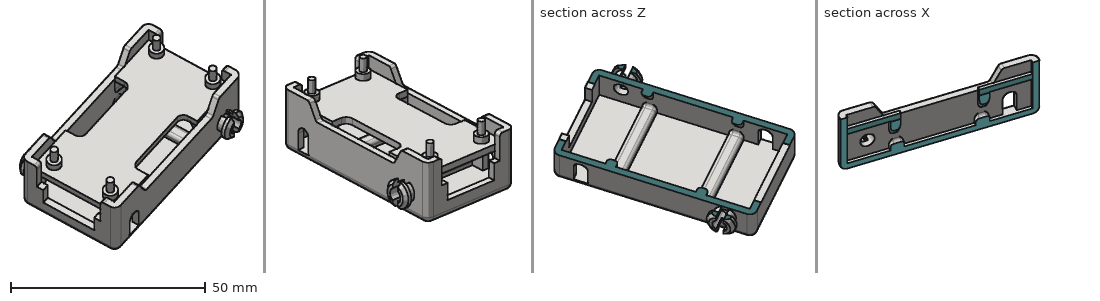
import cadquery as cq
import math

length = 56.0
width = 30.0
height = 18.0
wall = 2.0
floor = 2.0
outer_radius = 2.0
inner_width = width - 2 * wall
inner_length = length - 2 * wall

opening_width = 20.0
opening_sill = 10.0
window_width = 16.0
window_sill = 5.0
edge_radius = 1.0

dip_sill = 13.0
dip_floor_length = 30.0
slope_angle = math.radians(60)

rib_start = 10.0
rib_thickness = 4.0
rib_height = 2.0
rib_embed = 1.5

plate_bottom = 12.0
bracket_start = 11.0
bracket_thickness = rib_start + rib_thickness - bracket_start
bracket_reach = 3.0
bracket_embed = 1.0

peg_y = 20.0
peg_z = 7.0
peg_bore_diameter = 4.0
peg_shaft_diameter = 6.0
peg_head_diameter = 8.0
peg_shaft_length = 2.0
peg_rim_length = 1.0
peg_chamfer = 1.0
peg_split = 2.0
peg_length = peg_shaft_length + peg_rim_length + peg_chamfer

plate_thickness = 2.0
notch_depth = 5.0
notch_length = 22.0
notch_radius = 2.0
pin_spacing_x = 17.7
pin_spacing_y = 45.72
pin_shift_x = 0.05
pin_shift_y = 0.8
standoff_diameter = 4.0
standoff_height = 2.0
pin_diameter = 2.0
pin_height = 4.0


def box(size_x, size_y, bottom, top):
    """Box centred on the Z axis, between two heights."""
    return cq.Workplane("XY").workplane(offset=bottom).rect(size_x, size_y).extrude(top - bottom)


def make_cylinder(x, y, bottom, diameter, rise):
    """Upright cylinder standing at a given place and height."""
    return cq.Workplane("XY", origin=(x, y, bottom)).circle(diameter / 2).extrude(rise)


def make_shell():
    outside = box(width, length, 0, height)
    outside = outside.edges("|Z").fillet(outer_radius).faces("<Z").edges().fillet(outer_radius)
    return outside.cut(box(inner_width, inner_length, floor, height))


def make_end_openings():
    """Opening through both end walls with rounded upper corners, plus a lower window at -Y."""
    half = opening_width / 2
    opening = (
        cq.Workplane("XZ")
        .moveTo(-half, opening_sill)
        .lineTo(half, opening_sill)
        .lineTo(half, height - edge_radius)
        .radiusArc((half + edge_radius, height), edge_radius)
        .lineTo(-half - edge_radius, height)
        .radiusArc((-half, height - edge_radius), edge_radius)
        .close()
        .extrude(length / 2, both=True)
    )
    window = box(window_width, wall, window_sill, opening_sill)
    return opening.union(window.translate((0, -(length - wall) / 2, 0)))


def make_wall_dips():
    """Trapezoidal cut across both long walls, with rounded upper and lower corners."""
    half_floor = dip_floor_length / 2
    half_top = half_floor + (height - dip_sill) / math.tan(slope_angle)
    tangent = edge_radius * math.tan(slope_angle / 2)
    along = tangent * math.cos(slope_angle)
    up = tangent * math.sin(slope_angle)
    return (
        cq.Workplane("YZ")
        .moveTo(-half_floor + tangent, dip_sill)
        .lineTo(half_floor - tangent, dip_sill)
        .radiusArc((half_floor + along, dip_sill + up), -edge_radius)
        .lineTo(half_top - along, height - up)
        .radiusArc((half_top + tangent, height), edge_radius)
        .lineTo(-half_top - tangent, height)
        .radiusArc((-half_top + along, height - up), edge_radius)
        .lineTo(-half_floor - along, dip_sill + up)
        .radiusArc((-half_floor + tangent, dip_sill), -edge_radius)
        .close()
        .extrude(width / 2, both=True)
    )


def make_rib():
    """Low rib across the floor, curving up into both long walls, its top edges rounded."""
    end = inner_width / 2 + rib_embed
    wall_face = inner_width / 2
    rib_top = floor + rib_height
    profile = (
        cq.Workplane("XZ")
        .moveTo(-end, floor)
        .lineTo(end, floor)
        .lineTo(end, rib_top + rib_embed)
        .lineTo(wall_face, rib_top + rib_embed)
        .lineTo(wall_face, rib_top + edge_radius)
        .radiusArc((wall_face - edge_radius, rib_top), edge_radius)
        .lineTo(-wall_face + edge_radius, rib_top)
        .radiusArc((-wall_face, rib_top + edge_radius), edge_radius)
        .lineTo(-wall_face, rib_top + rib_embed)
        .lineTo(-end, rib_top + rib_embed)
        .close()
    )
    rib = profile.extrude(-rib_thickness)
    for side_y in (0, rib_thickness):
        rib = rib.edges(cq.NearestToPointSelector((0, side_y, rib_top))).fillet(edge_radius)
    return rib.translate((0, rib_start, 0))


def make_bracket():
    """Sloped bracket on the +X wall that holds up the plate, its sloped edges rounded."""
    wall_face = inner_width / 2
    root = wall_face + bracket_embed
    depth = (bracket_reach + bracket_embed) * math.tan(slope_angle)
    bracket = (
        cq.Workplane("XZ")
        .moveTo(wall_face - bracket_reach, plate_bottom)
        .lineTo(root, plate_bottom)
        .lineTo(root, plate_bottom - depth)
        .close()
        .extrude(-bracket_thickness)
    )
    slope_normal = cq.Vector(-math.sin(slope_angle), 0, -math.cos(slope_angle))
    bracket = bracket.faces(cq.DirectionMinMaxSelector(slope_normal)).edges("not |Y").fillet(edge_radius)
    return bracket.translate((0, bracket_start, 0))


def make_peg():
    """Split snap peg on the +X wall."""
    shaft_radius = peg_shaft_diameter / 2
    head_radius = peg_head_diameter / 2
    rim_end = peg_shaft_length + peg_rim_length
    peg = (
        cq.Workplane("XY")
        .moveTo(0, 0)
        .lineTo(0, shaft_radius)
        .lineTo(peg_shaft_length, shaft_radius)
        .lineTo(peg_shaft_length, head_radius)
        .lineTo(rim_end, head_radius)
        .lineTo(peg_length, head_radius - peg_chamfer)
        .lineTo(peg_length, 0)
        .close()
        .revolve(360, (0, 0, 0), (1, 0, 0))
    )
    split_size = (peg_length, peg_split, peg_head_diameter)
    split = cq.Workplane("XY").box(*split_size, centered=(False, True, True))
    return peg.cut(split).translate((width / 2, peg_y, peg_z))


def make_peg_bore():
    return (
        cq.Workplane("YZ")
        .workplane(offset=inner_width / 2)
        .center(peg_y, peg_z)
        .circle(peg_bore_diameter / 2)
        .extrude(wall + peg_length)
    )


def make_keyhole():
    """Round-topped slot down to the floor in the +X wall."""
    radius = peg_bore_diameter / 2
    return (
        cq.Workplane("YZ")
        .workplane(offset=inner_width / 2)
        .moveTo(-peg_y - radius, floor)
        .lineTo(-peg_y + radius, floor)
        .lineTo(-peg_y + radius, peg_z)
        .threePointArc((-peg_y, peg_z + radius), (-peg_y - radius, peg_z))
        .close()
        .extrude(wall)
    )


def make_housing():
    housing = make_shell().cut(make_end_openings()).cut(make_wall_dips())
    rib = make_rib()
    housing = housing.union(rib).union(rib.mirror("XZ"))
    bracket = make_bracket()
    bracket_pair = bracket.union(bracket.mirror("XZ"))
    housing = housing.union(bracket_pair).union(bracket_pair.mirror("YZ"))
    z_axis = ((0, 0, 0), (0, 0, 1))
    for turn in (0, 180):
        peg = make_peg().rotate(*z_axis, turn)
        bore = make_peg_bore().rotate(*z_axis, turn)
        keyhole = make_keyhole().rotate(*z_axis, turn)
        housing = housing.union(peg).cut(bore).cut(keyhole)
    return housing


def make_plate():
    """Plate resting on the brackets, notched on both long sides, with four stepped mounting pins."""
    plate_top = plate_bottom + plate_thickness
    standoff_top = plate_top + standoff_height
    plate = box(inner_width, inner_length, plate_bottom, plate_top)
    notch = box(2 * notch_depth, notch_length, plate_bottom, plate_top).edges("|Z").fillet(notch_radius)
    for side in (-1, 1):
        plate = plate.cut(notch.translate((side * inner_width / 2, 0, 0)))
    for side_x in (-1, 1):
        for side_y in (-1, 1):
            x = pin_shift_x + side_x * pin_spacing_x / 2
            y = pin_shift_y + side_y * pin_spacing_y / 2
            plate = plate.union(make_cylinder(x, y, plate_top, standoff_diameter, standoff_height))
            plate = plate.union(make_cylinder(x, y, standoff_top, pin_diameter, pin_height))
    return plate


housing = make_housing()
plate = make_plate()
result = cq.Compound.makeCompound([housing.val(), plate.val()])